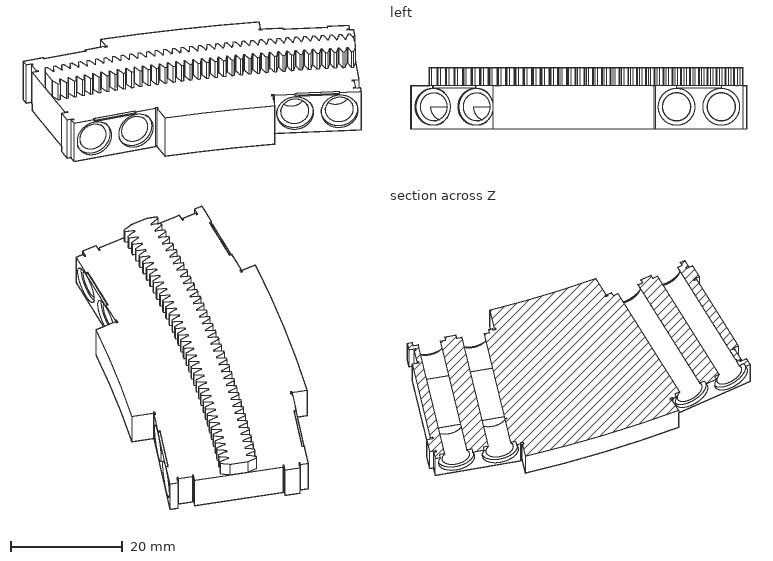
import cadquery as cq
import math


module = 0.5
tooth_count = 36
bend_radius = 200.0
bend_angle = tooth_count * math.pi * module / bend_radius
bend_degrees = math.degrees(bend_angle)
tooth_angle = bend_angle / tooth_count

plate_height = 7.8
total_height = 11.0
wing_half_width = 15.92
neck_half_width = 12.6
neck_length = 15.9
neck_relief = 0.25

rib_root_half_width = 1.65
rib_tip_half_width = 3.3
rib_end_setback = 0.05
tip_land_share = 0.27
root_gap_share = 0.11

joint_offset = 9.6
tab_width = 2.72
tab_length = 0.7
pocket_width = 3.0
pocket_depth = 0.9
relief_width = 0.2
tab_relief_depth = 0.5
pocket_relief_depth = 0.35

pin_diameter = 5.0
seat_diameter = 6.6
seat_depth = 0.7
pin_height = 4.0
pin_positions = (3.9, 11.9)
ledge_height = 7.4
ledge_depth = 0.4
far_bore_depth = 7.3


def on_bend(radius, angle):
    """Point at a radius from the bend centre, at an angle along the bend."""
    return (bend_radius - radius * math.cos(angle), radius * math.sin(angle))


def far_point(x, y):
    """Mirror image of a point near the first end, at the far end of the bend."""
    px, py = on_bend(bend_radius - x, bend_angle)
    return (px - y * math.sin(bend_angle), py - y * math.cos(bend_angle))


def to_far_end(shape):
    """Turn a shape made for the first end around and carry it to the far end."""
    turned = shape.rotate((0, 0, 0), (0, 0, 1), 180)
    return turned.rotate((bend_radius, 0, 0), (bend_radius, 0, 1), -bend_degrees)


def block(x_min, x_max, y_min, y_max, z_min=0.0, z_max=plate_height):
    """Axis-aligned box given by its limits."""
    size = (x_max - x_min, y_max - y_min, z_max - z_min)
    return cq.Workplane("XY").box(*size, centered=False).translate((x_min, y_min, z_min))


def make_plate():
    """Bent plate whose wings stop short of both ends, leaving narrower necks."""
    outer_radius = bend_radius + wing_half_width
    inner_radius = bend_radius - wing_half_width
    outer_x = bend_radius - math.sqrt(outer_radius**2 - neck_length**2)
    inner_x = bend_radius - math.sqrt(inner_radius**2 - neck_length**2)
    return (
        cq.Workplane("XY")
        .moveTo(-neck_half_width, 0)
        .lineTo(-neck_half_width, neck_length)
        .lineTo(outer_x, neck_length)
        .threePointArc(on_bend(outer_radius, bend_angle / 2), far_point(outer_x, neck_length))
        .lineTo(*far_point(-neck_half_width, neck_length))
        .lineTo(*far_point(-neck_half_width, 0))
        .lineTo(*far_point(neck_half_width, 0))
        .lineTo(*far_point(neck_half_width, neck_length))
        .lineTo(*far_point(inner_x, neck_length))
        .threePointArc(on_bend(inner_radius, bend_angle / 2), (inner_x, neck_length))
        .lineTo(neck_half_width, neck_length)
        .lineTo(neck_half_width, 0)
        .close()
        .extrude(plate_height)
    )


def tooth_edge(root_radius, tip_radius):
    """Points along one toothed side, from the first end to the far end."""
    setback_angle = rib_end_setback / bend_radius
    points = [on_bend(root_radius, setback_angle)]
    for tooth in range(tooth_count):
        middle = (tooth + 0.5) * tooth_angle
        foot = (1 - root_gap_share) / 2 * tooth_angle
        land = tip_land_share / 2 * tooth_angle
        points.append(on_bend(root_radius, middle - foot))
        points.append(on_bend(tip_radius, middle - land))
        points.append(on_bend(tip_radius, middle + land))
        points.append(on_bend(root_radius, middle + foot))
    points.append(on_bend(root_radius, bend_angle - setback_angle))
    return points


def make_rib():
    """Rib with rack teeth on both sides, standing on the plate."""
    outer_side = tooth_edge(bend_radius + rib_root_half_width, bend_radius + rib_tip_half_width)
    inner_side = tooth_edge(bend_radius - rib_root_half_width, bend_radius - rib_tip_half_width)
    outline = outer_side + inner_side[::-1]
    return cq.Workplane("XY").polyline(outline).close().extrude(total_height)


def make_tab():
    """Tab reaching out of the first end face."""
    left = joint_offset - tab_width / 2
    return block(left, left + tab_width, -tab_length, 0)


def make_joint_cuts():
    """Pocket in the first end face and the narrow reliefs at the tab and pocket corners."""
    pocket_left = -joint_offset - pocket_width / 2
    pocket_right = pocket_left + pocket_width
    relief_end = pocket_depth + pocket_relief_depth
    tab_left = joint_offset - tab_width / 2
    tab_right = tab_left + tab_width
    cuts = block(pocket_left, pocket_right, 0, pocket_depth)
    cuts = cuts.union(block(pocket_left, pocket_left + relief_width, 0, relief_end))
    cuts = cuts.union(block(pocket_right - relief_width, pocket_right, 0, relief_end))
    cuts = cuts.union(block(tab_left - relief_width, tab_left, 0, tab_relief_depth))
    return cuts.union(block(tab_right, tab_right + relief_width, 0, tab_relief_depth))


def make_neck_cuts(side):
    """Seats, ledge and corner relief in one flank of the first neck (side is -1 or +1)."""
    flank = side * neck_half_width
    floor = side * (neck_half_width - seat_depth)
    ledge_back = side * (neck_half_width - ledge_depth)
    inside = side * (neck_half_width - neck_relief)
    seats = (
        cq.Workplane("YZ", origin=(floor, 0, 0))
        .pushPoints([(y, pin_height) for y in pin_positions])
        .circle(seat_diameter / 2)
        .extrude(side * seat_depth)
    )
    x_min, x_max = sorted((flank, ledge_back))
    ledge = block(x_min, x_max, pin_positions[0], pin_positions[1], ledge_height, plate_height)
    x_min, x_max = sorted((flank, inside))
    relief = block(x_min, x_max, neck_length - neck_relief, neck_length + neck_relief)
    return seats.union(ledge).union(relief)


def make_pin_holes():
    """Pin holes running straight through the first neck."""
    return (
        cq.Workplane("YZ", origin=(-neck_half_width, 0, 0))
        .pushPoints([(y, pin_height) for y in pin_positions])
        .circle(pin_diameter / 2)
        .extrude(2 * neck_half_width)
    )


def make_lower_core():
    """Zone under the pin axes, between the full bores, where the far holes are half-round channels."""
    core_half_width = neck_half_width - far_bore_depth
    return block(-core_half_width, core_half_width, 0, neck_length, 0, pin_height)


end_cuts = make_joint_cuts().union(make_neck_cuts(-1)).union(make_neck_cuts(1))
pin_holes = make_pin_holes()
far_holes = pin_holes.cut(make_lower_core())
tab = make_tab()

result = make_plate().union(make_rib())
result = result.union(tab).union(to_far_end(tab))
result = result.cut(end_cuts).cut(to_far_end(end_cuts))
result = result.cut(pin_holes).cut(to_far_end(far_holes))